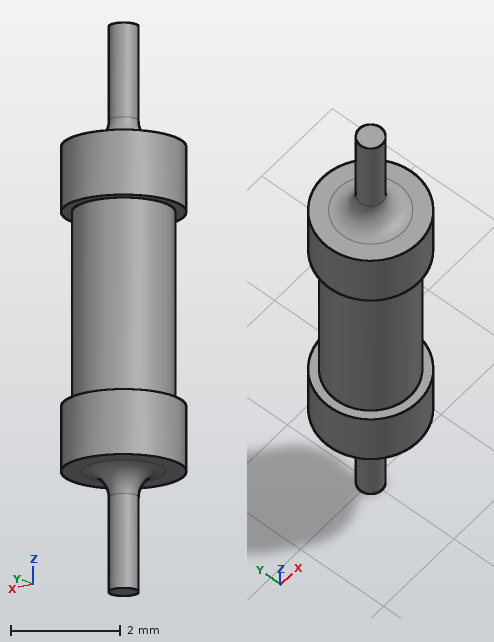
import cadquery as cq

total_length = 10.8
lead_diameter = 0.55
body_diameter = 1.9
cap_diameter = 2.3
cap_length = 1.24
capped_length = 6.2
flare_radius = 0.5


def cylinder(diameter, length):
    """Cylinder on the Z axis, centred on the origin."""
    return cq.Workplane("XY").cylinder(length, diameter / 2)


def end_flare():
    """Concave flare spreading from the lead onto the upper cap face."""
    lead_radius = lead_diameter / 2
    face_z = capped_length / 2
    arc_tip = (lead_radius, face_z + flare_radius)
    arc_foot = (lead_radius + flare_radius, face_z)
    return (
        cq.Workplane("XZ")
        .moveTo(0, face_z)
        .lineTo(*arc_foot)
        .radiusArc(arc_tip, flare_radius)
        .lineTo(0, arc_tip[1])
        .close()
        .revolve(360, (0, 0, 0), (0, 1, 0))
    )


result = cylinder(lead_diameter, total_length)
result = result.union(cylinder(body_diameter, capped_length))

cap_offset = (capped_length - cap_length) / 2
for side in (-1, 1):
    cap = cylinder(cap_diameter, cap_length).translate((0, 0, side * cap_offset))
    result = result.union(cap)

upper_flare = end_flare()
result = result.union(upper_flare).union(upper_flare.mirror("XY"))